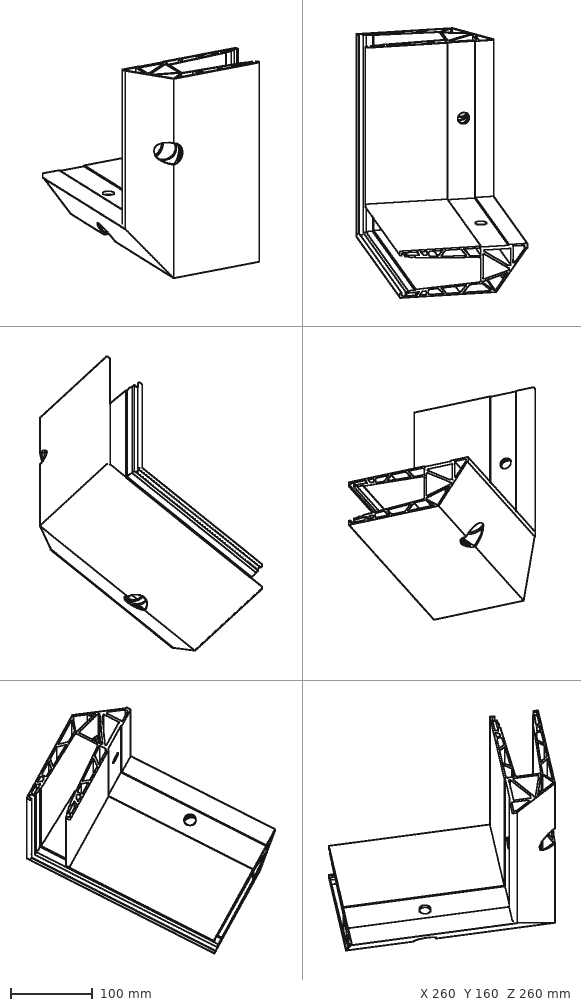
import cadquery as cq

LEG_LENGTH = 260.0
PROFILE_DEPTH = 160.0
PROFILE_HEIGHT = 60.0
MID_HEIGHT = PROFILE_HEIGHT / 2

SLOPE_START_DEPTH = 120.5
LIP_HEIGHT = 53.8
LIP_STEP = 1.3
RECESS_START = 101.5
RECESS_END = 136.5
RECESS_SINK = 1.0
RECESS_FLANK = 0.8
LIP_ROUND = 1.0

SKIN = 2.3
SLOPE_SKIN = 2.0
SLOPE_RUN = (PROFILE_DEPTH - LIP_STEP - SLOPE_START_DEPTH) / LIP_HEIGHT
SLOPE_SKIN_DEPTH = SLOPE_SKIN * (1 + SLOPE_RUN**2) ** 0.5
CELL_TOP = PROFILE_HEIGHT - SKIN

HOOK_WIDTH = 2.5
HOOK_HEIGHT = 6.0
TIP_ROUND = 1.0
SLOT_END = 7.0
SLOT_ROUND = 1.3

MOUTH_WALL = 7.8
DETENT_START = 11.0
DETENT_PEAK = 15.0
DETENT_BULGE = 0.7
DETENT_PEAK_WALL = 9.0
DETENT_END = 18.7
DETENT_END_WALL = 8.5
TAPER_START = 20.0
TAPER_START_WALL = 10.0
CHANNEL_END = 101.5
CHANNEL_END_WALL = 14.3
CHANNEL_ROUND = 2.5

FRONT_CELL_START = 104.0
SLOPE_RIB_START = 129.2
SLOPE_RIB_END = 130.8
POCKET_END = 134.5
MIDDLE_CELL_END = 137.0
UPPER_CELL_FLOOR = 33.5
UPPER_CELL_TOP = 54.9
UPPER_CELL_END = 138.8
LIP_CELL_START = 141.7
LIP_CELL_FLOOR = 36.5
LIP_CELL_SHOULDER = 54.3

TIP_CELL_ROUND = 1.0
RIB_ROUND = 2.0
MIDDLE_CELL_ROUND = 1.3
UPPER_CELL_ROUND = 4.0

HOLE_FROM_END = 98.0
HOLE_DEPTH = 122.0
HOLE_DIAMETER = 14.3
HEAD_DIAMETER = 28.0
HEAD_SINK = 54.9


def spot(depth, height, flipped=False):
    """Sketch point of a profile position, measured from the inner face when flipped."""
    return (-depth, PROFILE_HEIGHT - height if flipped else height)


def prism(positions, flipped=False):
    """Full-length bar with a polygonal section."""
    points = [spot(depth, height, flipped) for depth, height in positions]
    return cq.Workplane("YZ").polyline(points).close().extrude(LEG_LENGTH)


def round_corners(bar, positions, radius, flipped=False):
    """Round the lengthwise edges of a bar that lie nearest to the given positions."""
    for depth, height in positions:
        corner = (LEG_LENGTH / 2, *spot(depth, height, flipped))
        nearest = cq.selectors.NearestToPointSelector(corner)
        bar = bar.edges("|X").edges(nearest).fillet(radius)
    return bar


def slope_inside(height):
    """Depth of the inside of the sloping skin at a given height."""
    return SLOPE_START_DEPTH + height * SLOPE_RUN - SLOPE_SKIN_DEPTH


def slope_inside_height(depth):
    """Height of the inside of the sloping skin at a given depth."""
    return (depth + SLOPE_SKIN_DEPTH - SLOPE_START_DEPTH) / SLOPE_RUN


def outer_bar():
    slope_end = PROFILE_DEPTH - LIP_STEP
    recess_floor = PROFILE_HEIGHT - RECESS_SINK
    return prism([
        (0, 0),
        (SLOPE_START_DEPTH, 0),
        (slope_end, LIP_HEIGHT),
        (PROFILE_DEPTH, LIP_HEIGHT),
        (PROFILE_DEPTH, PROFILE_HEIGHT),
        (RECESS_END, PROFILE_HEIGHT),
        (RECESS_END - RECESS_FLANK, recess_floor),
        (RECESS_START + RECESS_FLANK, recess_floor),
        (RECESS_START, PROFILE_HEIGHT),
        (0, PROFILE_HEIGHT),
    ])


def half_channel(flipped):
    """One side of the channel, from its side wall to the middle of the profile."""
    def at(depth, height):
        return spot(depth, height, flipped)

    rise = DETENT_PEAK_WALL - MOUTH_WALL
    half = (
        cq.Workplane("YZ")
        .moveTo(*at(0, MID_HEIGHT))
        .lineTo(*at(0, HOOK_HEIGHT))
        .lineTo(*at(HOOK_WIDTH, HOOK_HEIGHT))
        .lineTo(*at(HOOK_WIDTH, SKIN))
        .lineTo(*at(SLOT_END, SKIN))
        .lineTo(*at(SLOT_END, MOUTH_WALL))
        .lineTo(*at(DETENT_START, MOUTH_WALL))
        .threePointArc(
            at((DETENT_START + DETENT_PEAK) / 2, MOUTH_WALL + DETENT_BULGE * rise),
            at(DETENT_PEAK, DETENT_PEAK_WALL),
        )
        .lineTo(*at(DETENT_END, DETENT_END_WALL))
        .lineTo(*at(TAPER_START, TAPER_START_WALL))
        .lineTo(*at(CHANNEL_END, CHANNEL_END_WALL))
        .lineTo(*at(CHANNEL_END, MID_HEIGHT))
        .close()
        .extrude(LEG_LENGTH)
    )
    half = round_corners(half, [(HOOK_WIDTH, SKIN), (SLOT_END, SKIN)], SLOT_ROUND, flipped)
    return round_corners(half, [(CHANNEL_END, CHANNEL_END_WALL)], CHANNEL_ROUND, flipped)


def panel_cells(outlines, flipped):
    """Cells of a side panel; the first three have rounded corners where they meet a square rib."""
    tip, second, third, *others = outlines
    tip_corners = [tip[0], tip[3]]
    second_corners = [second[1], second[2]]
    third_corners = [third[0], third[3]]
    return [
        round_corners(prism(tip, flipped), tip_corners, TIP_CELL_ROUND, flipped),
        round_corners(prism(second, flipped), second_corners, RIB_ROUND, flipped),
        round_corners(prism(third, flipped), third_corners, RIB_ROUND, flipped),
        *[prism(outline, flipped) for outline in others],
    ]


def outer_panel_cells():
    """Cells between the channel and the outer face."""
    outlines = [
        [(8.3, SKIN), (21.3, SKIN), (24.2, 6.5), (8.3, 5.7)],
        [(25.0, SKIN), (33.3, SKIN), (33.3, 7.3), (28.0, 6.8)],
        [(35.4, SKIN), (54.5, SKIN), (47.5, 9.4), (35.4, 8.5)],
        [(58.0, SKIN), (75.1, SKIN), (83.2, 11.2), (51.5, 9.5)],
        [(79.3, SKIN), (114.0, SKIN), (103.5, 12.2), (87.5, 11.7)],
    ]
    return panel_cells(outlines, flipped=False)


def inner_panel_cells():
    """Cells between the channel and the inner face."""
    outlines = [
        [(8.3, SKIN), (22.4, SKIN), (24.2, 6.5), (8.3, 5.7)],
        [(26.0, SKIN), (34.0, SKIN), (34.0, 7.5), (29.6, 7.0)],
        [(36.1, SKIN), (53.3, SKIN), (47.5, 9.4), (36.1, 8.5)],
        [(57.0, SKIN), (76.5, SKIN), (83.2, 11.2), (51.5, 9.5)],
        [(80.0, SKIN), (100.0, SKIN), (101.5, 4.7), (101.5, 12.0), (87.5, 11.7)],
    ]
    return panel_cells(outlines, flipped=True)


def front_cells():
    """Cells between the channel and the sloping face."""
    low = prism([
        (103.5, 13.5),
        (118.0, SKIN),
        (slope_inside(SKIN), SKIN),
        (SLOPE_RIB_START, slope_inside_height(SLOPE_RIB_START)),
        (SLOPE_RIB_START, 22.4),
        (103.5, 14.5),
    ])
    pocket = prism([
        (SLOPE_RIB_END, slope_inside_height(SLOPE_RIB_END)),
        (POCKET_END, slope_inside_height(POCKET_END)),
        (POCKET_END, 24.0),
        (SLOPE_RIB_END, 23.0),
    ])
    middle_feet = [(FRONT_CELL_START, 17.5), (FRONT_CELL_START, 50.7)]
    middle = prism([middle_feet[0], (MIDDLE_CELL_END, 27.3), (MIDDLE_CELL_END, 29.0), middle_feet[1]])
    middle = round_corners(middle, middle_feet, MIDDLE_CELL_ROUND)
    upper_bend = (135.2, UPPER_CELL_FLOOR)
    upper = prism([
        (105.3, 53.3),
        upper_bend,
        (UPPER_CELL_END, UPPER_CELL_FLOOR),
        (UPPER_CELL_END, UPPER_CELL_TOP),
        (105.8, UPPER_CELL_TOP),
    ])
    upper = round_corners(upper, [upper_bend], UPPER_CELL_ROUND)
    lip = prism([
        (LIP_CELL_START, LIP_CELL_FLOOR),
        (slope_inside(LIP_CELL_FLOOR), LIP_CELL_FLOOR),
        (slope_inside(LIP_CELL_SHOULDER), LIP_CELL_SHOULDER),
        (slope_inside(LIP_CELL_SHOULDER), CELL_TOP),
        (LIP_CELL_START, CELL_TOP),
    ])
    return [low, pocket, middle, upper, lip]


def straight_bar():
    bar = outer_bar()
    for flipped in (False, True):
        bar = bar.cut(half_channel(flipped))
    bar = bar.edges("|X").edges(">Y").fillet(TIP_ROUND)
    bar = bar.edges("|X").edges("<Y").fillet(LIP_ROUND)
    for cell in outer_panel_cells() + inner_panel_cells() + front_cells():
        bar = bar.cut(cell)
    return bar


def screw_hole():
    def cylinder(diameter, height):
        return (
            cq.Workplane("XY")
            .center(HOLE_FROM_END, -HOLE_DEPTH)
            .circle(diameter / 2)
            .extrude(height)
        )

    return cylinder(HOLE_DIAMETER, PROFILE_HEIGHT).union(cylinder(HEAD_DIAMETER, HEAD_SINK))


def miter_space():
    """Space kept by the lower leg: everything on its side of the 45 degree plane."""
    return (
        cq.Workplane("XZ")
        .polyline([(0, 0), (LEG_LENGTH, 0), (0, LEG_LENGTH)])
        .close()
        .extrude(PROFILE_DEPTH)
    )


lower_leg = straight_bar().cut(screw_hole()).intersect(miter_space())
upright_leg = lower_leg.mirror((1, 0, 1), (LEG_LENGTH, 0, 0))
result = lower_leg.union(upright_leg)